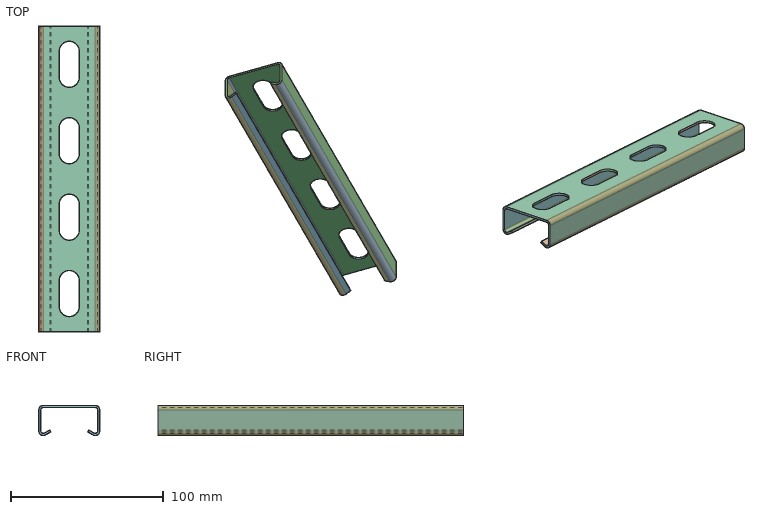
import cadquery as cq
import math

width = 40.0
length = 200.0
height = 19.8

thickness = 1.5
bend_radius = 3.0
lip_angle = 30.0
lip_gap = 24.0

slot_count = 4
slot_pitch = length / slot_count
slot_length = 30.0
slot_width = 13.0


def polar_point(center, radius, degrees):
    """Point on a circle around center, in the XZ plane."""
    angle = math.radians(degrees)
    return (center[0] + radius * math.cos(angle), center[1] + radius * math.sin(angle))


def right_half_section():
    """XZ outline of the half channel at X >= 0: web, side wall and inward lip."""
    inner_radius = bend_radius - thickness
    half_width = width / 2
    bend_x = half_width - bend_radius
    top_center = (bend_x, height - bend_radius)
    bottom_center = (bend_x, bend_radius)

    corner_middle = 45

    lip_start = -90 - lip_angle
    bend_middle = lip_start / 2
    outer_lip_start = polar_point(bottom_center, bend_radius, lip_start)
    inner_lip_start = polar_point(bottom_center, inner_radius, lip_start)

    run = outer_lip_start[0] - lip_gap / 2
    rise = run * math.tan(math.radians(lip_angle))
    outer_tip = (outer_lip_start[0] - run, outer_lip_start[1] + rise)
    inner_tip = (inner_lip_start[0] - run, inner_lip_start[1] + rise)

    return (
        cq.Workplane("XZ")
        .moveTo(0, height)
        .lineTo(bend_x, height)
        .threePointArc(polar_point(top_center, bend_radius, corner_middle), (half_width, top_center[1]))
        .lineTo(half_width, bottom_center[1])
        .threePointArc(polar_point(bottom_center, bend_radius, bend_middle), outer_lip_start)
        .lineTo(*outer_tip)
        .lineTo(*inner_tip)
        .lineTo(*inner_lip_start)
        .threePointArc(
            polar_point(bottom_center, inner_radius, bend_middle),
            (half_width - thickness, bottom_center[1]),
        )
        .lineTo(half_width - thickness, top_center[1])
        .threePointArc(
            polar_point(top_center, inner_radius, corner_middle),
            (bend_x, height - thickness),
        )
        .lineTo(0, height - thickness)
        .close()
    )


def channel():
    """Full channel, centered on X and Y, with its lowest point at Z = 0."""
    right_half = right_half_section().extrude(length / 2, both=True)
    return right_half.union(right_half.mirror("YZ")).clean()


def web_slots():
    """Row of evenly spaced slots through the web only."""
    return (
        cq.Workplane("XY")
        .workplane(offset=height)
        .rarray(1, slot_pitch, 1, slot_count)
        .slot2D(slot_length, slot_width, angle=90)
        .extrude(-thickness)
    )


result = channel().cut(web_slots())